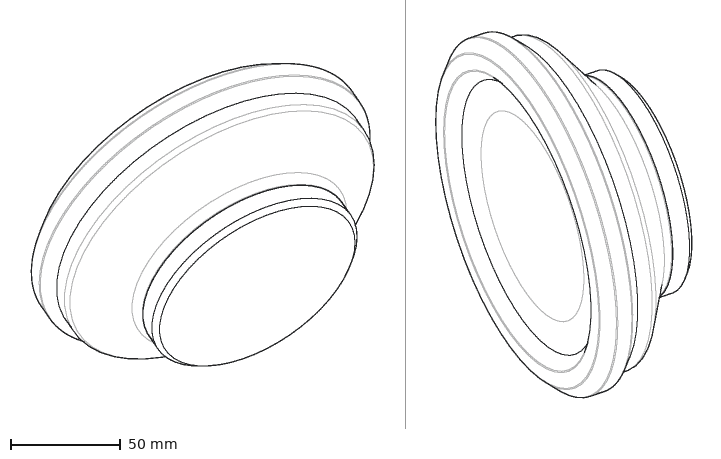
import cadquery as cq
import math

LENGTH = 63.0
RIM_RADIUS = 86.2

BEVEL = 6.0
FACE_RADIUS = RIM_RADIUS - BEVEL
RIM_END_X = 14.0
RIM_EDGE_RADIUS = 0.9

SHOULDER_RADIUS = 161.0 / 2
SHOULDER_START_X = RIM_END_X + RIM_RADIUS - SHOULDER_RADIUS
SHOULDER_END_X = 27.0

CONE_ANGLE = math.radians(54.5)
SHOULDER_BLEND_RADIUS = 3.3
NECK_BLEND_RADIUS = 6.2

NECK_RADIUS = 106.7 / 2
NECK_END_X = 51.9
HUB_RADIUS = 107.0 / 2
HUB_CHAMFER = 2.5

RECESS_MOUTH_RADIUS = 71.9
RECESS_FLOOR_RADIUS = 65.8
RECESS_WALL_DEPTH = RECESS_MOUTH_RADIUS - RECESS_FLOOR_RADIUS
CENTRE_RADIUS = 50.3
CENTRE_DEPTH = 7.8

EDGE_TOLERANCE = 0.2


def blend_point(start, radius, angle, side):
    """Point on an arc tangent to X at `start`, after turning by `angle`.

    side=1 runs toward +X and inward; side=-1 runs toward -X and outward.
    """
    x, r = start
    return x + side * radius * math.sin(angle), r - side * radius * (1 - math.cos(angle))


shoulder_end = (SHOULDER_END_X, SHOULDER_RADIUS)
cone_start = blend_point(shoulder_end, SHOULDER_BLEND_RADIUS, CONE_ANGLE, 1)
cone_radius_drop = cone_start[1] - NECK_RADIUS - NECK_BLEND_RADIUS * (1 - math.cos(CONE_ANGLE))
cone_end_x = cone_start[0] + cone_radius_drop / math.tan(CONE_ANGLE)
neck_start = (cone_end_x + NECK_BLEND_RADIUS * math.sin(CONE_ANGLE), NECK_RADIUS)
cone_end = blend_point(neck_start, NECK_BLEND_RADIUS, CONE_ANGLE, -1)

half_section = (
    cq.Workplane("XY")
    .moveTo(CENTRE_DEPTH, 0)
    .lineTo(CENTRE_DEPTH, CENTRE_RADIUS)
    .lineTo(RECESS_WALL_DEPTH, RECESS_FLOOR_RADIUS)
    .lineTo(0, RECESS_MOUTH_RADIUS)
    .lineTo(0, FACE_RADIUS)
    .lineTo(BEVEL, RIM_RADIUS)
    .lineTo(RIM_END_X, RIM_RADIUS)
    .lineTo(SHOULDER_START_X, SHOULDER_RADIUS)
    .lineTo(*shoulder_end)
    .threePointArc(blend_point(shoulder_end, SHOULDER_BLEND_RADIUS, CONE_ANGLE / 2, 1), cone_start)
    .lineTo(*cone_end)
    .threePointArc(blend_point(neck_start, NECK_BLEND_RADIUS, CONE_ANGLE / 2, -1), neck_start)
    .lineTo(NECK_END_X, NECK_RADIUS)
    .lineTo(NECK_END_X, HUB_RADIUS)
    .lineTo(LENGTH - HUB_CHAMFER, HUB_RADIUS)
    .lineTo(LENGTH, HUB_RADIUS - HUB_CHAMFER)
    .lineTo(LENGTH, 0)
    .close()
)

body = half_section.revolve(360, (0, 0, 0), (1, 0, 0))

rounded_edges = [
    edge
    for edge in body.edges("%CIRCLE").vals()
    if edge.radius() > RECESS_FLOOR_RADIUS + EDGE_TOLERANCE
    and edge.Center().x < RIM_END_X + EDGE_TOLERANCE
]
result = body.newObject(rounded_edges).fillet(RIM_EDGE_RADIUS)